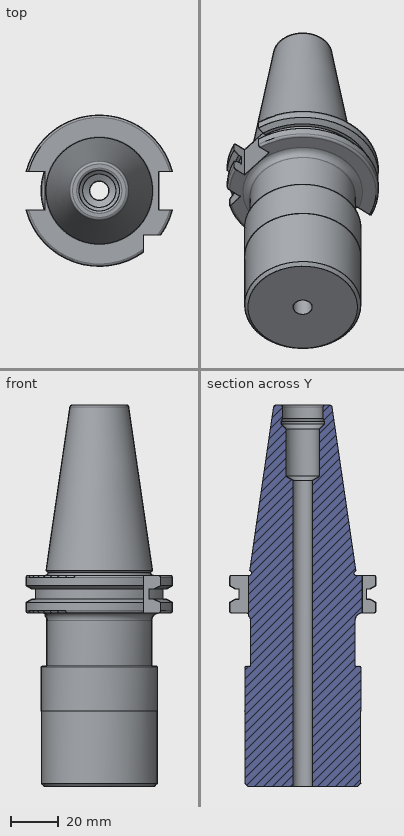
import cadquery as cq
import math


gauge_radius = 44.45 / 2
taper_length = 68.4
taper_slope = 7 / 24 / 2
taper_overrun = 1.2
shank_end_fillet = 1.2

relief_radius = 21.6
relief_fillet = 1.0

flange_radius = 63.55 / 2
flange_top = -3.2
flange_bottom = -19.1
flange_fillet = 1.0
groove_center = -11.1
groove_radius = 28.0
groove_floor = 4.2
groove_mouth = 7.0
groove_half_angle = math.radians(30)

neck_radius = 22.1
neck_fillet = 3.0
body_radius = 24.5
sleeve_radius = 24.4
sleeve_top = -60.2
body_top = -41.4
body_bottom = -92.0
body_top_fillet = 0.6
body_bottom_chamfer = 1.4

slot_width = 16.1
left_slot_floor = 22.8
right_slot_floor = 25.0
notch_offset = 18.6

bore_radius = 8.5
bore_fillet = 1.0
bore_depth = 5.8
undercut_radius = 9.0
undercut_wall_top = 7.0
undercut_wall_bottom = 8.1
pilot_radius = 7.0
pilot_depth = 30.0
drill_tip_slope = math.radians(30)
coolant_radius = 4.0

arc_reach = 1 - math.sqrt(0.5)


def taper_radius(z):
    return gauge_radius - z * taper_slope


def outer_body():
    groove_wall = (groove_mouth - groove_floor) / 2
    channel_mouth_radius = flange_radius - groove_wall / math.tan(groove_half_angle)
    taper_end_radius = taper_radius(-taper_overrun)
    relief_top = -taper_overrun - (taper_end_radius - relief_radius)

    return (
        cq.Workplane("XZ")
        .moveTo(0, taper_length)
        .lineTo(taper_radius(taper_length), taper_length)
        .lineTo(taper_end_radius, -taper_overrun)
        .lineTo(relief_radius, relief_top)
        .lineTo(relief_radius, flange_top + relief_fillet)
        .threePointArc(
            (relief_radius + arc_reach * relief_fillet, flange_top + arc_reach * relief_fillet),
            (relief_radius + relief_fillet, flange_top),
        )
        .lineTo(flange_radius - flange_fillet, flange_top)
        .threePointArc(
            (flange_radius - arc_reach * flange_fillet, flange_top - arc_reach * flange_fillet),
            (flange_radius, flange_top - flange_fillet),
        )
        .lineTo(flange_radius, groove_center + groove_mouth / 2)
        .lineTo(channel_mouth_radius, groove_center + groove_floor / 2)
        .lineTo(groove_radius, groove_center + groove_floor / 2)
        .lineTo(groove_radius, groove_center - groove_floor / 2)
        .lineTo(channel_mouth_radius, groove_center - groove_floor / 2)
        .lineTo(flange_radius, groove_center - groove_mouth / 2)
        .lineTo(flange_radius, flange_bottom + flange_fillet)
        .threePointArc(
            (flange_radius - arc_reach * flange_fillet, flange_bottom + arc_reach * flange_fillet),
            (flange_radius - flange_fillet, flange_bottom),
        )
        .lineTo(neck_radius + neck_fillet, flange_bottom)
        .threePointArc(
            (neck_radius + arc_reach * neck_fillet, flange_bottom - arc_reach * neck_fillet),
            (neck_radius, flange_bottom - neck_fillet),
        )
        .lineTo(neck_radius, body_top)
        .lineTo(body_radius - body_top_fillet, body_top)
        .threePointArc(
            (body_radius - arc_reach * body_top_fillet, body_top - arc_reach * body_top_fillet),
            (body_radius, body_top - body_top_fillet),
        )
        .lineTo(body_radius, sleeve_top)
        .lineTo(sleeve_radius, sleeve_top)
        .lineTo(sleeve_radius, body_bottom + body_bottom_chamfer)
        .lineTo(sleeve_radius - body_bottom_chamfer, body_bottom)
        .lineTo(0, body_bottom)
        .close()
        .revolve(360, (0, 0, 0), (0, 1, 0))
        .edges(">Z")
        .fillet(shank_end_fillet)
    )


def bore():
    pilot_top = undercut_wall_bottom + (undercut_radius - pilot_radius)
    drill_tip_depth = pilot_depth + (pilot_radius - coolant_radius) * math.tan(drill_tip_slope)

    return (
        cq.Workplane("XZ")
        .moveTo(0, taper_length)
        .lineTo(bore_radius + bore_fillet, taper_length)
        .threePointArc(
            (bore_radius + arc_reach * bore_fillet, taper_length - arc_reach * bore_fillet),
            (bore_radius, taper_length - bore_fillet),
        )
        .lineTo(bore_radius, taper_length - bore_depth)
        .lineTo(undercut_radius, taper_length - undercut_wall_top)
        .lineTo(undercut_radius, taper_length - undercut_wall_bottom)
        .lineTo(pilot_radius, taper_length - pilot_top)
        .lineTo(pilot_radius, taper_length - pilot_depth)
        .lineTo(coolant_radius, taper_length - drill_tip_depth)
        .lineTo(coolant_radius, body_bottom)
        .lineTo(0, body_bottom)
        .close()
        .revolve(360, (0, 0, 0), (0, 1, 0))
    )


def flange_cut(x_min, x_max, y_min, y_max):
    """Block from the flange top down through the neck fillet."""
    height = flange_top - flange_bottom + neck_fillet
    return (
        cq.Workplane("XY", origin=(0, 0, flange_top))
        .moveTo((x_min + x_max) / 2, (y_min + y_max) / 2)
        .rect(x_max - x_min, y_max - y_min)
        .extrude(-height)
    )


left_slot = flange_cut(-flange_radius, -left_slot_floor, -slot_width / 2, slot_width / 2)
right_slot = flange_cut(right_slot_floor, flange_radius, -slot_width / 2, slot_width / 2)
corner_notch = flange_cut(notch_offset, flange_radius, -flange_radius, -notch_offset)

result = outer_body().cut(bore()).cut(left_slot).cut(right_slot).cut(corner_notch)